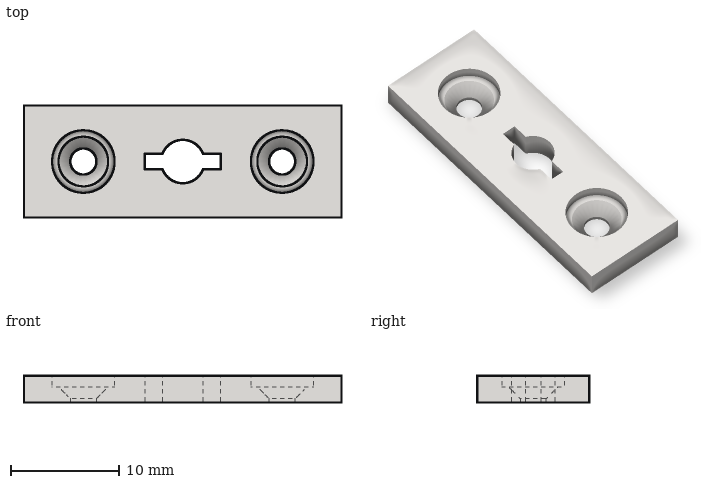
import cadquery as cq

plate_length = 29.4
plate_width = 10.4
plate_thickness = 2.5

screw_spacing = 18.4
counterbore_diameter = 5.8
counterbore_depth = 1.05
seat_diameter = 4.6
screw_hole_diameter = 2.4
seat_depth = (seat_diameter - screw_hole_diameter) / 2

center_hole_diameter = 4.0
slot_length = 7.0
slot_width = 1.4


def make_plate():
    return cq.Workplane("XY").box(
        plate_length, plate_width, plate_thickness, centered=(True, True, False)
    )


def screw_hole_cutter(x):
    """Revolved cutter for one stepped screw hole with its axis at the given X."""
    counterbore_floor = plate_thickness - counterbore_depth
    seat_bottom = counterbore_floor - seat_depth
    profile = (
        cq.Workplane("XZ")
        .moveTo(0, 0)
        .lineTo(screw_hole_diameter / 2, 0)
        .lineTo(screw_hole_diameter / 2, seat_bottom)
        .lineTo(seat_diameter / 2, counterbore_floor)
        .lineTo(counterbore_diameter / 2, counterbore_floor)
        .lineTo(counterbore_diameter / 2, plate_thickness)
        .lineTo(0, plate_thickness)
        .close()
    )
    return profile.revolve(360, (0, 0, 0), (0, 1, 0)).translate((x, 0, 0))


def keyed_opening_cutter():
    round_hole = cq.Workplane("XY").circle(center_hole_diameter / 2).extrude(plate_thickness)
    slot = cq.Workplane("XY").rect(slot_length, slot_width).extrude(plate_thickness)
    return round_hole.union(slot)


result = make_plate().cut(keyed_opening_cutter())
for side in (-1, 1):
    result = result.cut(screw_hole_cutter(side * screw_spacing / 2))